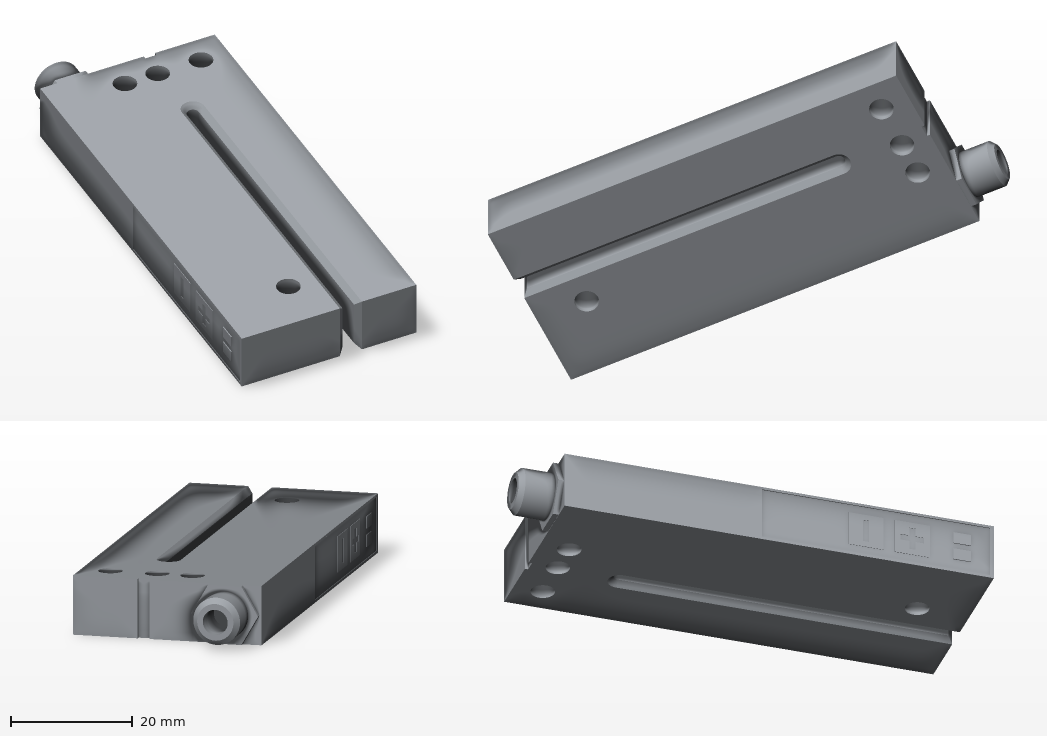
import cadquery as cq
import math

total_length = 81.0
width = 32.0
height = 10.0
body_start = 7.0
body_length = total_length - body_start

slot_y = 20.0
slot_radius = 1.05
slot_end_x = 23.0
slot_chamfer = 1.0
notch_width = 2.0
notch_depth = 0.6

hole_diameter = 4.05
near_hole_x = 12.0
far_hole_x = 72.0
front_hole_y = 13.05
hole_positions = [
    (near_hole_x, front_hole_y),
    (near_hole_x, 19.0),
    (near_hole_x, 27.0),
    (far_hole_x, front_hole_y),
]

connector_y = 6.0
connector_radius = 4.0
tip_chamfer = 0.9
bore_radius = 2.1
hex_thickness = 1.0
hex_across_flats = 9.8
hex_corner_diameter = hex_across_flats / math.cos(math.pi / 6)

panel_start = 41.0
panel_end = 80.35
panel_height = 9.1
panel_depth = 0.2
button_rise = 0.1
button_size = 6.1
minus_x = 59.0
plus_x = 67.0
bar_thickness = 1.05
bar_length = 4.05
lamp_x = 75.6
lamp_width = 3.0
lamp_height = 2.0
lamp_offset = 1.5


def make_body():
    """Rectangular housing with the rear-end notch and the through holes."""
    body = cq.Workplane("XY").box(body_length, width, height, centered=(False, False, True))
    body = body.translate((body_start, 0, 0))
    notch = cq.Workplane("XY").box(notch_depth, notch_width, height, centered=(False, True, True))
    body = body.cut(notch.translate((body_start, slot_y, 0)))
    holes = cq.Workplane("XY").pushPoints(hole_positions).circle(hole_diameter / 2).extrude(height, both=True)
    return body.cut(holes)


def slot_outline(radius, z):
    """Closed outline of a slot with one round end, open at the far end."""
    return (
        cq.Workplane("XY", origin=(0, slot_y, z))
        .moveTo(total_length, radius)
        .lineTo(slot_end_x, radius)
        .threePointArc((slot_end_x - radius, 0), (slot_end_x, -radius))
        .lineTo(total_length, -radius)
        .close()
    )


def make_slot():
    """Slot with 45 degree chamfers along its top and bottom edges and its mouth."""
    slot = slot_outline(slot_radius, -height / 2).extrude(height)
    wide_radius = slot_radius + slot_chamfer
    for side in (1, -1):
        flare = slot_outline(wide_radius, side * height / 2).extrude(-side * slot_chamfer, taper=45)
        slot = slot.union(flare)
    mouth = (
        cq.Workplane("XY", origin=(total_length, slot_y, -height / 2))
        .moveTo(-slot_chamfer, slot_radius)
        .lineTo(0, wide_radius)
        .lineTo(0, -wide_radius)
        .lineTo(-slot_chamfer, -slot_radius)
        .close()
        .extrude(height)
    )
    return slot.union(mouth)


def make_connector():
    """Round connector with a chamfered tip, seated on a hexagonal nut."""
    barrel = (
        cq.Workplane("YZ", origin=(0, connector_y, 0))
        .circle(connector_radius)
        .extrude(body_start)
        .faces("<X")
        .chamfer(tip_chamfer)
    )
    nut = (
        cq.Workplane("YZ", origin=(body_start - hex_thickness, connector_y, 0))
        .polygon(6, hex_corner_diameter)
        .extrude(hex_thickness)
    )
    bore = cq.Workplane("YZ", origin=(0, connector_y, 0)).circle(bore_radius).extrude(body_start)
    return barrel.union(nut).cut(bore)


def front_block(x, z, length, block_height, start_y, depth):
    """Block centred at (x, z) running inward from start_y."""
    block = cq.Workplane("XY").box(length, depth, block_height, centered=(True, False, True))
    return block.translate((x, start_y, z))


def add_panel(part):
    """Recessed panel with raised buttons, engraved plus and minus, and two lamps flush with the front face."""
    panel_x = (panel_start + panel_end) / 2
    part = part.cut(front_block(panel_x, 0, panel_end - panel_start, panel_height, 0, panel_depth))

    button_y = panel_depth - button_rise
    for x in (minus_x, plus_x):
        part = part.union(front_block(x, 0, button_size, button_size, button_y, button_rise))

    minus_mark = front_block(minus_x, 0, bar_thickness, bar_length, button_y, button_rise)
    plus_mark = front_block(plus_x, 0, bar_thickness, bar_length, button_y, button_rise).union(
        front_block(plus_x, 0, bar_length, bar_thickness, button_y, button_rise)
    )
    part = part.cut(minus_mark).cut(plus_mark.clean())

    for z in (lamp_offset, -lamp_offset):
        part = part.union(front_block(lamp_x, z, lamp_width, lamp_height, 0, panel_depth))
    return part.clean()


housing = make_body().cut(make_slot())
result = add_panel(housing.union(make_connector()))